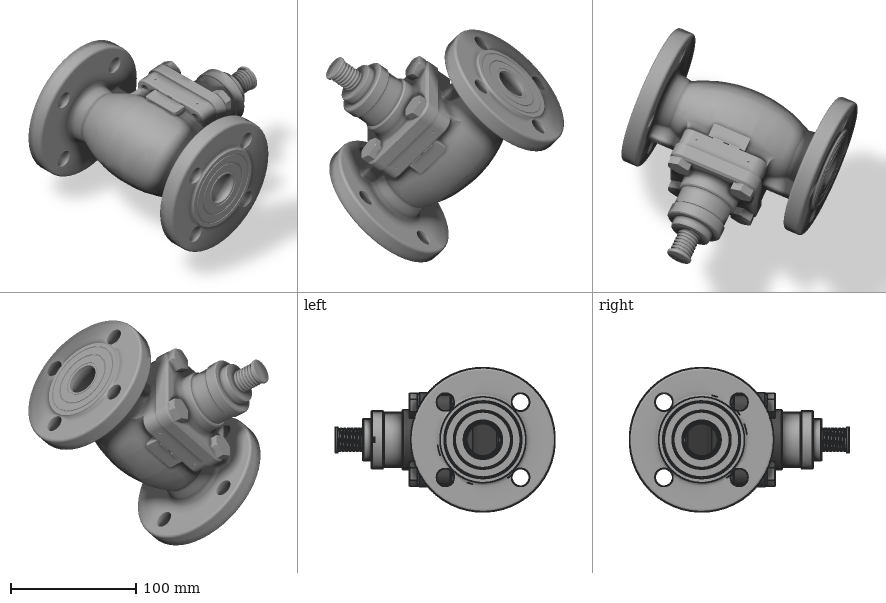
import cadquery as cq
import math


half_length = 80.0
raised_face_height = 2.0
raised_face_radius = 34.2
raised_face_foot_radius = 36.8
flange_radius = 57.5
flange_inner_x = 63.8
flange_outer_x = half_length - raised_face_height
flange_edge_radius = 2.1
bolt_hole_radius = 7.0
bolt_hole_offset = 30.0
bore_radius = 12.8
passage_radius = 13.3
bore_depth = 8.8
face_groove_radii = (14.9, 22.8, 30.3)
face_groove_width = 1.2
face_groove_depth = 0.5

neck_root_radius = 27.2
neck_root_fillet_x = 59.8
neck_outer_radius = 23.7
neck_inner_x = 51.2
neck_inner_radius = 22.3
bulb_radius = 35.0

seat_half_width = 35.8
seat_corner_radius = 8.8
seat_bottom_y = 26.0
joint_y = 40.7
seat_bottom_fillet = 1.4
skirt_half_depth = 29.3
skirt_corner_half_depth = 23.0
skirt_top_y = 38.6
skirt_fillet = 5.0
cove_radius = 2.6
cove_overlap = 1.0
stud_offset = 27.2
stud_hole_radius = 4.5
dimple_x = 22.6
dimple_y = 33.2
dimple_radius = 0.9
dimple_depth = 0.9

web_top_y = 35.0
web_half_thickness = 5.0
web_fillet = 2.1
plate_half_width = 15.87
plate_bottom_y = 13.5
plate_top_y = 25.0
plate_face_z = 34.0
plate_corner_radius = 1.8
plate_root_z = 21.0
tab_inner_x = 2.5
tab_outer_x = 11.4
tab_top_y = 27.4
tab_face_z = 35.5

cover_half_width = 37.5
cover_corner_radius = 10.9
cover_top_y = 52.3
cover_chamfer = 2.0
collar_radius = 24.0
collar_top_y = 64.4
collar_chamfer = 1.0
collar_root_radius = 3.5
barrel_radius = 21.7
barrel_top_y = 78.5
relief_radius = 20.9
nut_radius = 23.0
nut_bottom_y = 79.1
nut_top_y = 89.1
nut_chamfer = 0.9
nut_notch_y = 86.8
nut_notch_height = 1.4
nut_notch_width = 3.9
nut_notch_depth = 0.5
gland_radius = 16.7
gland_bevel_width = 0.4
gland_bevel_height = 1.0
gland_top_y = 96.0
spindle_top_y = 117.9
disc_radius = 10.2
disc_height = 2.3
disc_chamfer = 0.5
spring_radius = 9.1
wire_radius = 0.9
spring_pitch = 2.8
spindle_radius = 7.7
bolt_head_flats = 17.4
bolt_head_top_y = 58.5
bolt_head_chamfer = 0.7

SIDES = (-1, 1)
STUD_POINTS = [(sx * stud_offset, sz * stud_offset) for sx in SIDES for sz in SIDES]


def at_height(y):
    """Workplane normal to Y whose extrusions run toward +Y, with local x = X and local y = -Z."""
    return cq.Workplane(cq.Plane(origin=(0, y, 0), xDir=(1, 0, 0), normal=(0, 1, 0)))


def block(x_range, y_range, z_range):
    """Axis-aligned block given by its limits along X, Y and Z."""
    limits = (x_range, y_range, z_range)
    sizes = [high - low for low, high in limits]
    return cq.Workplane().box(*sizes, centered=False).translate(tuple(low for low, high in limits))


def edges_within(half_x, low_y, high_y, half_z):
    """Selector of the edges whose centres lie in a block centred on X and Z."""
    margin = 0.2
    return cq.selectors.BoxSelector(
        (-half_x - margin, low_y, -half_z - margin), (half_x + margin, high_y + margin, half_z + margin)
    )


def disc_along_x(x, radius, length):
    return cq.Workplane("YZ", origin=(x, 0, 0)).circle(radius).extrude(length)


def make_bulb_and_necks():
    """Turned shape between the flanges: two tapered necks and the bulb, a solid of revolution."""
    root_run = flange_inner_x - neck_root_fillet_x
    root_rise = neck_root_radius - neck_outer_radius
    root_mid_x = neck_root_fillet_x + root_run * math.sin(math.pi / 4)
    root_mid_radius = neck_outer_radius + root_rise * (1 - math.cos(math.pi / 4))
    return (
        cq.Workplane("XY")
        .moveTo(-flange_inner_x, 0)
        .lineTo(-flange_inner_x, -neck_root_radius)
        .threePointArc((-root_mid_x, -root_mid_radius), (-neck_root_fillet_x, -neck_outer_radius))
        .lineTo(-neck_inner_x, -neck_inner_radius)
        .threePointArc((0, -bulb_radius), (neck_inner_x, -neck_inner_radius))
        .lineTo(neck_root_fillet_x, -neck_outer_radius)
        .threePointArc((root_mid_x, -root_mid_radius), (flange_inner_x, -neck_root_radius))
        .lineTo(flange_inner_x, 0)
        .close()
        .revolve(360, (0, 0, 0), (1, 0, 0))
    )


def make_flange():
    """Flange at the +X end, with its raised sealing face on a concave foot."""
    thickness = flange_outer_x - flange_inner_x
    plate = disc_along_x(flange_inner_x, flange_radius, thickness).edges().fillet(flange_edge_radius)
    foot_arc_mid = (
        flange_outer_x + 0.3 * raised_face_height,
        raised_face_radius + 0.3 * (raised_face_foot_radius - raised_face_radius),
    )
    raised_face = (
        cq.Workplane("XY")
        .moveTo(flange_outer_x - flange_edge_radius, 0)
        .lineTo(flange_outer_x - flange_edge_radius, raised_face_foot_radius)
        .lineTo(flange_outer_x, raised_face_foot_radius)
        .threePointArc(foot_arc_mid, (half_length, raised_face_radius))
        .lineTo(half_length, 0)
        .close()
        .revolve(360, (0, 0, 0), (1, 0, 0))
    )
    flange = plate.union(raised_face)
    hole_points = [(sy * bolt_hole_offset, sz * bolt_hole_offset) for sy in SIDES for sz in SIDES]
    holes = (
        cq.Workplane("YZ", origin=(flange_inner_x, 0, 0))
        .pushPoints(hole_points)
        .circle(bolt_hole_radius)
        .extrude(thickness + raised_face_height)
    )
    flange = flange.cut(holes)
    for radius in face_groove_radii:
        groove_floor = half_length - face_groove_depth
        groove = disc_along_x(groove_floor, radius + face_groove_width / 2, face_groove_depth).cut(
            disc_along_x(groove_floor, radius - face_groove_width / 2, face_groove_depth)
        )
        flange = flange.cut(groove)
    return flange


def make_port():
    """Blind flow passage from the +X end, closed by a slanted, stepped inner wall."""
    inner_wall = [(31.5, -10.9), (16.7, 4.0), (10.5, 8.2), (7.0, passage_radius)]
    outline = [(half_length, -passage_radius), (inner_wall[0][0], -passage_radius), *inner_wall]
    outline.append((half_length, passage_radius))
    passage_block = (
        cq.Workplane("XY", origin=(0, 0, -passage_radius))
        .polyline(outline)
        .close()
        .extrude(2 * passage_radius)
    )
    passage = passage_block.intersect(disc_along_x(0, passage_radius, half_length - bore_depth))
    return passage.union(disc_along_x(half_length - bore_depth, bore_radius, bore_depth))


def make_skirt():
    """Pedestal with two bowed walls that carries the seat on the bulb."""
    return (
        at_height(0)
        .moveTo(-seat_half_width, -skirt_corner_half_depth)
        .threePointArc((0, -skirt_half_depth), (seat_half_width, -skirt_corner_half_depth))
        .lineTo(seat_half_width, skirt_corner_half_depth)
        .threePointArc((0, skirt_half_depth), (-seat_half_width, skirt_corner_half_depth))
        .close()
        .extrude(skirt_top_y)
    )


def make_cove():
    """Concave strips between the underside of the seat and the two bowed walls of the skirt."""
    bow = skirt_half_depth - skirt_corner_half_depth
    wall_radius = (seat_half_width**2 + bow**2) / (2 * bow)
    axis_z = skirt_half_depth - wall_radius
    arc_mid = cove_radius * (1 - math.sin(math.pi / 4))
    ring = (
        cq.Workplane("YZ", origin=(0, 0, axis_z))
        .moveTo(seat_bottom_y + cove_overlap, wall_radius - cove_overlap)
        .lineTo(seat_bottom_y + cove_overlap, wall_radius + cove_radius)
        .lineTo(seat_bottom_y, wall_radius + cove_radius)
        .threePointArc(
            (seat_bottom_y - arc_mid, wall_radius + arc_mid), (seat_bottom_y - cove_radius, wall_radius)
        )
        .lineTo(seat_bottom_y - cove_radius, wall_radius - cove_overlap)
        .close()
        .revolve(360, (0, 0, 0), (1, 0, 0))
    )
    strip_end_x = seat_half_width - seat_bottom_fillet
    strip = ring.intersect(block((-strip_end_x, strip_end_x), (0, joint_y), (0, seat_half_width)))
    return strip.union(strip.mirror("XY"))


def make_seat():
    """Square block under the joint, with rounded corners and a rounded lower edge."""
    width = 2 * seat_half_width
    return (
        at_height(seat_bottom_y)
        .rect(width, width)
        .extrude(joint_y - seat_bottom_y)
        .edges("|Y")
        .fillet(seat_corner_radius)
        .faces("<Y")
        .edges()
        .fillet(seat_bottom_fillet)
    )


def make_stud_holes():
    height = joint_y - seat_bottom_y
    return at_height(seat_bottom_y).pushPoints(STUD_POINTS).circle(stud_hole_radius).extrude(height)


def make_dimples():
    dimples = (
        cq.Workplane("XY", origin=(0, 0, seat_half_width - dimple_depth))
        .pushPoints([(sx * dimple_x, dimple_y) for sx in SIDES])
        .circle(dimple_radius)
        .extrude(dimple_depth)
    )
    return dimples.union(dimples.mirror("XY"))


def make_web():
    """Upright web along X that ties the seat to both flanges."""
    z_range = (-web_half_thickness, web_half_thickness)
    return block((-flange_inner_x, flange_inner_x), (0, web_top_y), z_range)


def make_name_plate():
    """Flat plate standing on the +Z side of the bulb, with two tabs against the seat."""
    plate = (
        block(
            (-plate_half_width, plate_half_width),
            (plate_bottom_y, plate_top_y),
            (plate_root_z, plate_face_z),
        )
        .edges("|Z and <Y")
        .fillet(plate_corner_radius)
    )
    for x_range in ((-tab_outer_x, -tab_inner_x), (tab_inner_x, tab_outer_x)):
        plate = plate.union(block(x_range, (plate_top_y, tab_top_y), (plate_root_z, tab_face_z)))
    return plate


def make_valve_body():
    body = make_bulb_and_necks().union(make_skirt())
    body = body.edges(edges_within(seat_half_width, 0, bulb_radius, skirt_half_depth)).edges("not |Y")
    body = body.fillet(skirt_fillet)

    flange = make_flange()
    body = body.union(make_web()).union(flange).union(flange.mirror("YZ"))
    body = body.edges(edges_within(flange_inner_x, neck_inner_radius - 1.8, web_top_y, web_half_thickness))
    body = body.fillet(web_fillet)

    name_plate = make_name_plate()
    body = body.union(make_seat()).union(make_cove()).union(name_plate).union(name_plate.mirror("XY"))
    port = make_port()
    cuts = [make_stud_holes(), make_dimples(), port, port.mirror("YZ")]
    for cut in cuts:
        body = body.cut(cut)
    return body.solids()


def make_cover():
    """Square cover plate that sits on the valve body."""
    width = 2 * cover_half_width
    return (
        at_height(joint_y)
        .rect(width, width)
        .extrude(cover_top_y - joint_y)
        .edges("|Y")
        .fillet(cover_corner_radius)
        .faces(">Y")
        .chamfer(cover_chamfer)
    )


def make_tower():
    """Turned tower on the cover: collar, barrel, relief, union nut, gland, spindle and top disc."""
    disc_bottom_y = spindle_top_y - disc_height
    root_mid_offset = collar_root_radius * (1 - math.sin(math.pi / 4))
    return (
        cq.Workplane("XY")
        .moveTo(0, joint_y)
        .lineTo(collar_radius, joint_y)
        .lineTo(collar_radius, cover_top_y - cover_chamfer)
        .lineTo(collar_radius + collar_root_radius, cover_top_y - cover_chamfer)
        .lineTo(collar_radius + collar_root_radius, cover_top_y)
        .threePointArc(
            (collar_radius + root_mid_offset, cover_top_y + root_mid_offset),
            (collar_radius, cover_top_y + collar_root_radius),
        )
        .lineTo(collar_radius, collar_top_y - collar_chamfer)
        .lineTo(collar_radius - collar_chamfer, collar_top_y)
        .lineTo(barrel_radius, collar_top_y)
        .lineTo(barrel_radius, barrel_top_y)
        .lineTo(relief_radius, barrel_top_y)
        .lineTo(relief_radius, nut_bottom_y)
        .lineTo(nut_radius - nut_chamfer, nut_bottom_y)
        .lineTo(nut_radius, nut_bottom_y + nut_chamfer)
        .lineTo(nut_radius, nut_top_y - nut_chamfer)
        .lineTo(nut_radius - nut_chamfer, nut_top_y)
        .lineTo(gland_radius, nut_top_y)
        .lineTo(gland_radius, gland_top_y - gland_bevel_height)
        .lineTo(gland_radius - gland_bevel_width, gland_top_y)
        .lineTo(spindle_radius, gland_top_y)
        .lineTo(spindle_radius, disc_bottom_y)
        .lineTo(disc_radius, disc_bottom_y)
        .lineTo(disc_radius, spindle_top_y - disc_chamfer)
        .lineTo(disc_radius - disc_chamfer, spindle_top_y)
        .lineTo(0, spindle_top_y)
        .close()
        .revolve(360, (0, 0, 0), (0, 1, 0))
    )


def make_spring():
    """Left-hand coil round the spindle, between the gland and the top disc."""
    coil_radius = spring_radius - wire_radius
    coil_height = spindle_top_y - disc_height - gland_top_y
    helix = cq.Wire.makeHelix(
        spring_pitch,
        coil_height,
        coil_radius,
        center=cq.Vector(0, gland_top_y, 0),
        dir=cq.Vector(0, 1, 0),
        lefthand=True,
    )
    section = cq.Workplane(cq.Plane(origin=helix.startPoint(), normal=helix.tangentAt(0)))
    return section.circle(wire_radius).sweep(cq.Workplane(helix), isFrenet=True)


def make_bolt_heads():
    """Hexagon heads on the four studs, a corner of each pointing along Z, with bevelled tops."""
    across_corners = bolt_head_flats / math.cos(math.pi / 6)
    height = bolt_head_top_y - cover_top_y
    hexagon = at_height(cover_top_y).polygon(6, across_corners).extrude(height)
    hexagon = hexagon.rotate((0, 0, 0), (0, 1, 0), 90)
    bevel = at_height(cover_top_y).circle(across_corners / 2).extrude(height)
    bevel = bevel.faces(">Y").chamfer(bolt_head_chamfer)
    head = hexagon.intersect(bevel)
    return [head.translate((x, 0, z)) for x, z in STUD_POINTS]


def make_bonnet():
    bonnet = make_cover().union(make_tower())
    for head in make_bolt_heads():
        bonnet = bonnet.union(head)
    notch = block(
        (-nut_radius, nut_notch_depth - nut_radius),
        (nut_notch_y - nut_notch_height / 2, nut_notch_y + nut_notch_height / 2),
        (-nut_notch_width / 2, nut_notch_width / 2),
    )
    return bonnet.cut(notch).union(make_spring()).solids()


valve_body = make_valve_body()
bonnet = make_bonnet()
result = cq.Compound.makeCompound([valve_body.val(), bonnet.val()])